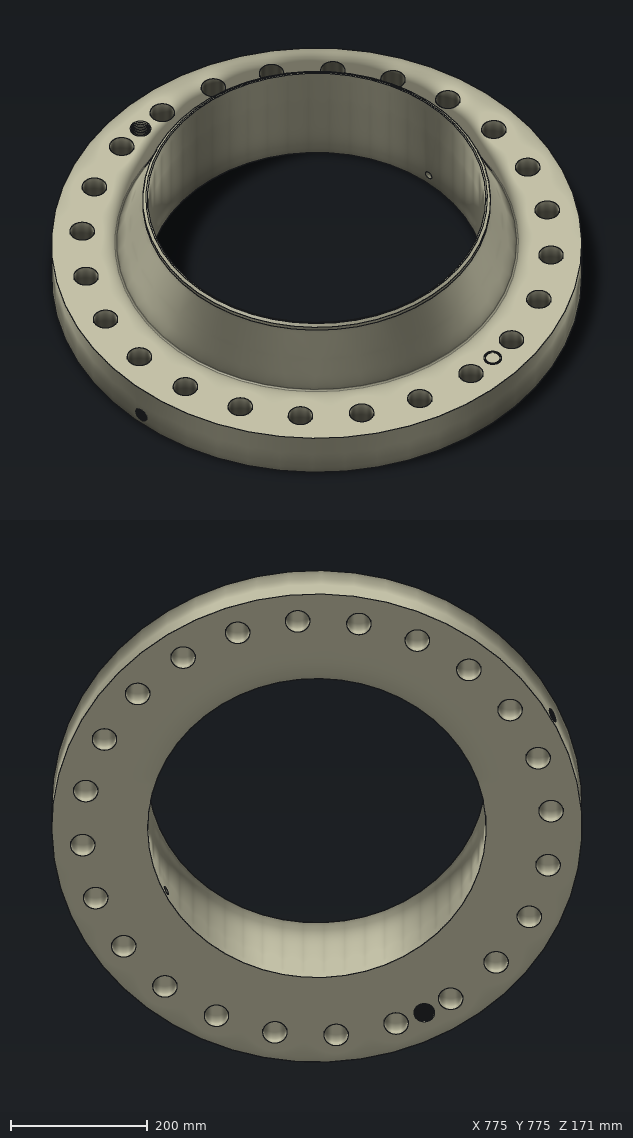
import cadquery as cq

flange_diameter = 775.0
flange_thickness = 73.5
flange_radius = flange_diameter / 2

overall_height = 171.0
bore_radius = 247.0
hub_base_radius = 293.0
pipe_radius = 254.0
pipe_end_length = 9.0
weld_bevel_height = 3.0
weld_land = 2.0
hub_base_fillet = 3.0

bolt_count = 24
bolt_circle_radius = 343.0
bolt_hole_diameter = 36.0

jack_major_diameter = 30.0
jack_minor_diameter = 27.0
jack_thread_turns = 21
ring_groove_outer_diameter = 25.5
ring_groove_inner_diameter = 22.0
ring_groove_depth = 1.5

tap_height = 18.5
tap_major_diameter = 22.0
tap_minor_diameter = 18.0
tap_thread_turns = 12
tap_thread_depth = 23.0
tap_bore_diameter = 12.5
bore_overrun = 8.0


def threaded_cutter(plane, major_radius, minor_radius, turns, depth):
    """Plug with V-shaped rings, running from the plane's origin along its normal."""
    pitch = depth / turns
    profile = cq.Workplane("XY").lineTo(major_radius, 0)
    for turn in range(turns):
        profile = profile.lineTo(minor_radius, (turn + 0.5) * pitch)
        profile = profile.lineTo(major_radius, (turn + 1) * pitch)
    plug = profile.lineTo(0, depth).close().revolve(360, (0, 0, 0), (0, 1, 0))
    plug = plug.rotate((0, 0, 0), (1, 0, 0), 90)
    return cq.Workplane(plug.val().moved(cq.Location(plane)))


def flange_body():
    """Revolved flange ring with its tapered hub and bevelled weld end."""
    pipe_end_bottom = overall_height - pipe_end_length
    body = (
        cq.Workplane("XZ")
        .moveTo(bore_radius, 0)
        .lineTo(flange_radius, 0)
        .lineTo(flange_radius, flange_thickness)
        .lineTo(hub_base_radius, flange_thickness)
        .lineTo(pipe_radius, pipe_end_bottom)
        .lineTo(pipe_radius, overall_height - weld_bevel_height)
        .lineTo(bore_radius + weld_land, overall_height)
        .lineTo(bore_radius, overall_height)
        .close()
        .revolve(360, (0, 0, 0), (0, 1, 0))
    )
    hub_base_edge = body.edges("%CIRCLE").edges(cq.selectors.RadiusNthSelector(-2))
    return hub_base_edge.fillet(hub_base_fillet)


def bolt_holes():
    half_step = 180 / bolt_count
    return (
        cq.Workplane("XY")
        .polarArray(bolt_circle_radius, half_step, 360, bolt_count)
        .circle(bolt_hole_diameter / 2)
        .extrude(flange_thickness)
    )


def jack_screw_hole():
    plane = cq.Plane((-bolt_circle_radius, 0, 0))
    return threaded_cutter(
        plane,
        jack_major_diameter / 2,
        jack_minor_diameter / 2,
        jack_thread_turns,
        flange_thickness,
    )


def ring_groove():
    return (
        cq.Workplane("XY", origin=(bolt_circle_radius, 0, flange_thickness - ring_groove_depth))
        .circle(ring_groove_outer_diameter / 2)
        .circle(ring_groove_inner_diameter / 2)
        .extrude(ring_groove_depth)
    )


def pressure_tap(side):
    """Threaded mouth at the rim and a plain drilling on to the bore; side is -1 or 1 along Y."""
    inward = cq.Plane((0, side * flange_radius, tap_height), xDir=(1, 0, 0), normal=(0, -side, 0))
    thread = threaded_cutter(
        inward,
        tap_major_diameter / 2,
        tap_minor_diameter / 2,
        tap_thread_turns,
        tap_thread_depth,
    )
    drilling_length = flange_radius - bore_radius + bore_overrun
    drilling = cq.Workplane(inward).circle(tap_bore_diameter / 2).extrude(drilling_length)
    return thread.union(drilling)


result = flange_body().cut(bolt_holes()).cut(jack_screw_hole()).cut(ring_groove())
for side in (-1, 1):
    result = result.cut(pressure_tap(side))